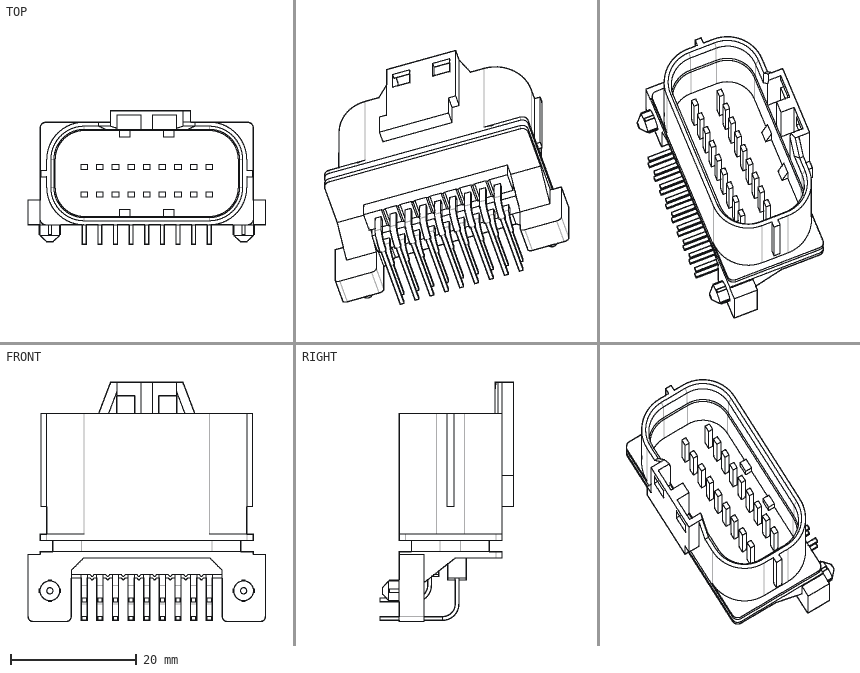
import cadquery as cq
import math


SHROUD_WIDTH = 32.0
DEPTH = 16.45
SHROUD_RADIUS = 6.0
SHROUD_TOP = 33.3
LIP_WALL = 0.65
UPPER_WALL = 1.15
LOWER_WALL = 1.35
LIP_HEIGHT = 1.4
LIP_BOTTOM = SHROUD_TOP - LIP_HEIGHT
LEDGE_Z = 25.55
LEDGE_DROP = 0.4

PLATE_WIDTH = 34.15
PLATE_RADIUS = 1.0
FLANGE_TOP = 14.0
FLANGE_BOTTOM = 12.95
NECK_WIDTH = 30.1
NECK_FRONT = 1.95
NECK_BACK = 14.4
NECK_RADIUS = 4.6
BASE_TOP = 11.2
BASE_BOTTOM = 10.15

RIB_SPAN = 33.9
RIB_THICKNESS = 1.05
RIB_Y = 8.2
RIB_BOTTOM = 18.4

TOWER_HALF_WIDTH = 5.8
TOWER_BACK = 18.3
TOWER_TOP = 38.3
TOWER_STEP_Z = 23.35
TOWER_BOTTOM = 18.4
TOWER_KEY_SHIFT = 1.2
WING_HALF_WIDTH = 7.7
WING_BEVEL = 1.6
POCKET_BACK = 17.55
POST_HALF_WIDTH = 0.95
POCKET_OUTER_X = 4.78
WINDOW_INNER_X = 1.95
WINDOW_BOTTOM = 32.0
WINDOW_TOP = 36.1

STOP_X = 3.5
STOP_WIDTH = 1.7
STOP_LENGTH = 1.1
STOP_HEIGHT = 2.0
RAMP_LENGTH = 1.0
RAMP_HEIGHT = 3.0

FOOT_OUTER_X = 19.0
FOOT_INNER_X = 12.07
FOOT_DEPTH = 4.0
FOOT_TOP = 10.75
FOOT_RADIUS = 0.8
GUSSET_BACK = 8.95
GUSSET_BOTTOM = 6.25
CORNER_BRACE = 1.95
PEG_X = 15.5
PEG_Z = 4.93
PEG_RADIUS = 1.58
PEG_TIP_RADIUS = 0.5
PEG_SHANK = 1.7
PEG_LENGTH = 2.7
PEG_RIB_RADIUS = 1.73
PEG_RIB_WIDTH = 0.5
PEG_RIB_LENGTH = 1.55

PIN_COUNT = 9
PIN_PITCH = 2.5
PIN_THICKNESS = 0.63
PIN_WIDTH = 1.02
TAIL_WIDTH = 0.66
TAIL_END = -3.1
BEND_RADIUS = 2.64
CONTACT_WIDTH = 1.05
CONTACT_DEPTH = 0.75
CONTACT_TOP = 24.0
FRONT_ROW_Y = 4.85
BACK_ROW_Y = 9.25
FRONT_TAIL_Z = 3.15
BACK_TAIL_Z = 0.18

BLOCK_DEPTH = 3.0
FRONT_BLOCK_BOTTOM = 7.5
BACK_BLOCK_BOTTOM = 6.95
RIDGE_WIDTH = 0.64
RIDGE_HEIGHT = 0.32


def box(x0, x1, y0, y1, z0, z1):
    return cq.Workplane("XY").box(x1 - x0, y1 - y0, z1 - z0, centered=False).translate((x0, y0, z0))


def rounded_block(width, y0, y1, z0, z1, radius):
    return box(-width / 2, width / 2, y0, y1, z0, z1).edges("|Z").fillet(radius)


def socket_outline(inset, z):
    """Outline of the shroud, moved inward by inset, on the plane at height z."""
    outline = cq.Sketch().rect(SHROUD_WIDTH - 2 * inset, DEPTH - 2 * inset)
    outline = outline.vertices().fillet(SHROUD_RADIUS - inset)
    return cq.Workplane("XY", origin=(0, DEPTH / 2, z)).placeSketch(outline)


def prism_along_y(points, y0, y1):
    """Solid with an XZ outline, reaching from y0 to y1."""
    return cq.Workplane("XZ", origin=(0, y0, 0)).polyline(points).close().extrude(y0 - y1)


def prism_along_x(points, x0, x1):
    """Solid with a YZ outline, reaching from x0 to x1."""
    return cq.Workplane("YZ", origin=(x0, 0, 0)).polyline(points).close().extrude(x1 - x0)


def both_sides(half):
    return half.union(half.mirror("YZ"))


def make_housing():
    housing = socket_outline(0, FLANGE_TOP).extrude(SHROUD_TOP - FLANGE_TOP)
    flange = rounded_block(PLATE_WIDTH, 0, DEPTH, FLANGE_BOTTOM, FLANGE_TOP, PLATE_RADIUS)
    neck = rounded_block(NECK_WIDTH, NECK_FRONT, NECK_BACK, BASE_TOP, FLANGE_BOTTOM, NECK_RADIUS)
    base = box(-PLATE_WIDTH / 2, PLATE_WIDTH / 2, 0, DEPTH, BASE_BOTTOM, BASE_TOP)
    base = base.edges("|Z and >Y").fillet(PLATE_RADIUS)
    ribs = box(
        -RIB_SPAN / 2, RIB_SPAN / 2,
        RIB_Y - RIB_THICKNESS / 2, RIB_Y + RIB_THICKNESS / 2,
        RIB_BOTTOM, SHROUD_TOP,
    )
    return housing.union(ribs).union(flange).union(neck).union(base)


def flared_step(inset_below, inset_above, z0, z1):
    """Part of the cavity that widens from one wall thickness to another between z0 and z1."""
    flare = math.degrees(math.atan((inset_below - inset_above) / (z1 - z0)))
    return socket_outline(inset_below, z0).extrude(z1 - z0, taper=-flare)


def make_cavity():
    ledge_bottom = LEDGE_Z - LEDGE_DROP
    lower = socket_outline(LOWER_WALL, FLANGE_TOP).extrude(ledge_bottom - FLANGE_TOP)
    ledge = flared_step(LOWER_WALL, UPPER_WALL, ledge_bottom, LEDGE_Z)
    upper = socket_outline(UPPER_WALL, LEDGE_Z).extrude(LIP_BOTTOM - LEDGE_Z)
    lip = flared_step(UPPER_WALL, LIP_WALL, LIP_BOTTOM, SHROUD_TOP)
    return lower.union(ledge).union(upper).union(lip)


def wing_points(bevel):
    """Trapezoid of the tower wings; the sides keep their slope down to the lip bottom."""
    slope = (WING_HALF_WIDTH - TOWER_HALF_WIDTH) / (TOWER_TOP - SHROUD_TOP)
    top = TOWER_HALF_WIDTH - bevel
    bottom = top + slope * (TOWER_TOP - LIP_BOTTOM)
    return [(-bottom, LIP_BOTTOM), (bottom, LIP_BOTTOM), (top, TOWER_TOP), (-top, TOWER_TOP)]


def make_tower():
    lip_y = DEPTH - LIP_WALL
    inner_y = DEPTH - UPPER_WALL
    tower = prism_along_y(wing_points(0), lip_y, DEPTH)
    bevel = (
        cq.Workplane("XZ", origin=(0, lip_y, 0))
        .polyline(wing_points(0)).close()
        .workplane(offset=lip_y - inner_y)
        .polyline(wing_points(WING_BEVEL)).close()
        .loft(ruled=True)
    )
    upper = box(-TOWER_HALF_WIDTH, TOWER_HALF_WIDTH, DEPTH, TOWER_BACK, TOWER_STEP_Z, TOWER_TOP)
    key = box(
        TOWER_KEY_SHIFT - TOWER_HALF_WIDTH, TOWER_KEY_SHIFT + TOWER_HALF_WIDTH,
        DEPTH, TOWER_BACK, TOWER_BOTTOM, TOWER_STEP_Z,
    )
    return tower.union(bevel).union(upper).union(key)


def make_latch_pockets():
    pocket = box(
        POST_HALF_WIDTH, POCKET_OUTER_X, DEPTH - LOWER_WALL, POCKET_BACK, LEDGE_Z, TOWER_TOP
    )
    window = box(
        WINDOW_INNER_X, POCKET_OUTER_X, POCKET_BACK, TOWER_BACK, WINDOW_BOTTOM, WINDOW_TOP
    )
    return both_sides(pocket.union(window))


def make_floor_stops():
    x0 = STOP_X - STOP_WIDTH / 2
    x1 = STOP_X + STOP_WIDTH / 2
    front = box(
        x0, x1, LOWER_WALL, LOWER_WALL + STOP_LENGTH, FLANGE_TOP, FLANGE_TOP + STOP_HEIGHT
    )
    wall_y = DEPTH - LOWER_WALL
    ramp_outline = [
        (wall_y, FLANGE_TOP),
        (wall_y - RAMP_LENGTH, FLANGE_TOP),
        (wall_y, FLANGE_TOP + RAMP_HEIGHT),
    ]
    return both_sides(front.union(prism_along_x(ramp_outline, x0, x1)))


def make_peg():
    profile = [
        (0, 0),
        (PEG_RADIUS, 0),
        (PEG_RADIUS, PEG_SHANK),
        (PEG_TIP_RADIUS, PEG_LENGTH),
        (0, PEG_LENGTH),
    ]
    peg = cq.Workplane("XY").polyline(profile).close().revolve(360, (0, 0, 0), (0, 1, 0))
    half_rib = PEG_RIB_WIDTH / 2
    reach = PEG_RIB_RADIUS
    peg = peg.union(box(-reach, reach, 0, PEG_RIB_LENGTH, -half_rib, half_rib))
    peg = peg.union(box(-half_rib, half_rib, 0, PEG_RIB_LENGTH, -reach, reach))
    return peg.mirror("XZ").translate((PEG_X, 0, PEG_Z))


def make_feet():
    foot = box(FOOT_INNER_X, FOOT_OUTER_X, 0, FOOT_DEPTH, 0, FOOT_TOP)
    foot = foot.edges("|Y and <Z").fillet(FOOT_RADIUS)
    gusset_outline = [
        (0, BASE_BOTTOM),
        (GUSSET_BACK, BASE_BOTTOM),
        (FOOT_DEPTH, GUSSET_BOTTOM),
        (0, GUSSET_BOTTOM),
    ]
    gusset = prism_along_x(gusset_outline, FOOT_INNER_X, PLATE_WIDTH / 2)
    brace_outline = [
        (FOOT_INNER_X, BASE_BOTTOM),
        (FOOT_INNER_X - CORNER_BRACE, BASE_BOTTOM),
        (FOOT_INNER_X, BASE_BOTTOM - CORNER_BRACE),
    ]
    brace = prism_along_y(brace_outline, 0, FOOT_DEPTH)
    return both_sides(foot.union(gusset).union(brace).union(make_peg()))


def make_header_block(row_y, bottom):
    """Bar around a pin row with a small V ridge between neighbouring pins."""
    y0 = row_y - BLOCK_DEPTH / 2
    y1 = row_y + BLOCK_DEPTH / 2
    block = box(-FOOT_INNER_X, FOOT_INNER_X, y0, y1, bottom, BASE_BOTTOM)
    for gap in range(PIN_COUNT - 1):
        x = (gap - (PIN_COUNT - 2) / 2) * PIN_PITCH
        ridge = [
            (x - RIDGE_WIDTH / 2, bottom),
            (x + RIDGE_WIDTH / 2, bottom),
            (x, bottom - RIDGE_HEIGHT),
        ]
        block = block.union(prism_along_y(ridge, y0, y1))
    return block


def make_pin(row_y, tail_z):
    """Contact above the floor, straight leg, rounded bend and a narrower tail toward -Y."""
    back = row_y + PIN_THICKNESS / 2
    bend_y = back - BEND_RADIUS
    bend_z = tail_z + BEND_RADIUS
    contact = box(
        -CONTACT_WIDTH / 2, CONTACT_WIDTH / 2,
        row_y - CONTACT_DEPTH / 2, row_y + CONTACT_DEPTH / 2,
        FLANGE_TOP, CONTACT_TOP,
    )
    leg = box(
        -PIN_WIDTH / 2, PIN_WIDTH / 2, back - PIN_THICKNESS, back, bend_z, FLANGE_TOP
    )
    ring = (
        cq.Workplane("YZ", origin=(-PIN_WIDTH / 2, bend_y, bend_z))
        .circle(BEND_RADIUS)
        .circle(BEND_RADIUS - PIN_THICKNESS)
        .extrude(PIN_WIDTH)
    )
    bend = ring.intersect(box(-PIN_WIDTH, PIN_WIDTH, bend_y, back, tail_z, bend_z))
    tail = box(
        -TAIL_WIDTH / 2, TAIL_WIDTH / 2, TAIL_END, bend_y, tail_z, tail_z + PIN_THICKNESS
    )
    return contact.union(leg).union(bend).union(tail)


def make_pin_row(row_y, tail_z):
    pin = make_pin(row_y, tail_z)
    row = cq.Workplane("XY")
    for index in range(PIN_COUNT):
        x = (index - (PIN_COUNT - 1) / 2) * PIN_PITCH
        row = row.union(pin.translate((x, 0, 0)))
    return row


result = make_housing().cut(make_cavity())
result = result.union(make_tower()).cut(make_latch_pockets())
result = result.union(make_floor_stops()).union(make_feet())
result = result.union(make_header_block(FRONT_ROW_Y, FRONT_BLOCK_BOTTOM))
result = result.union(make_header_block(BACK_ROW_Y, BACK_BLOCK_BOTTOM))
result = result.union(make_pin_row(FRONT_ROW_Y, FRONT_TAIL_Z))
result = result.union(make_pin_row(BACK_ROW_Y, BACK_TAIL_Z))
result = result.solids()